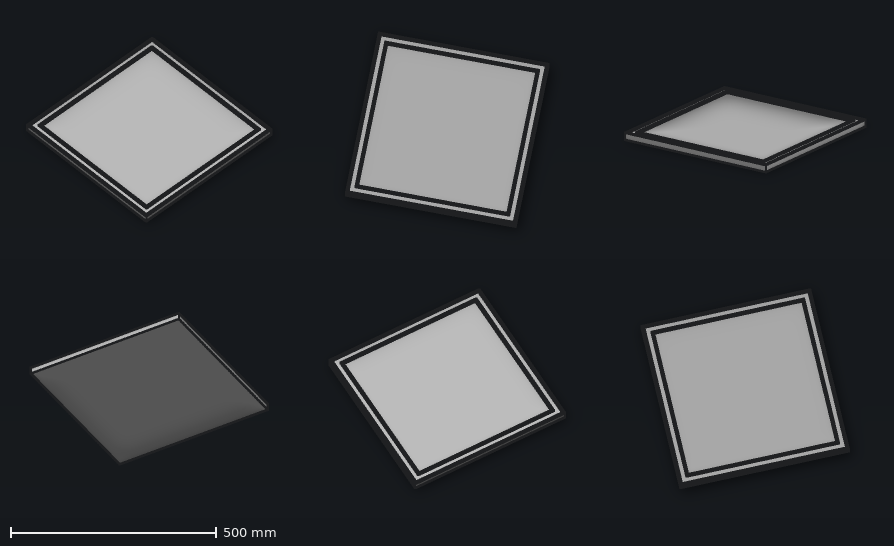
import cadquery as cq

board_side = 421.0
board_thickness = 18.0

outer_rim_width = 5.0
inner_rim_width = 5.0

channel_width = 14.7
channel_depth = 1.0

field_depth = 3.0

channel_outer_side = board_side - 2 * outer_rim_width
channel_inner_side = channel_outer_side - 2 * channel_width
field_side = channel_inner_side - 2 * inner_rim_width


def square_block(side, bottom, top):
    """Square block centred on the Z axis between two heights."""
    return cq.Workplane("XY").workplane(offset=bottom).rect(side, side).extrude(top - bottom)


def border_channel():
    """Square ring removed between the outer and inner rims."""
    channel_floor = board_thickness - channel_depth
    outside = square_block(channel_outer_side, channel_floor, board_thickness)
    inside = square_block(channel_inner_side, channel_floor, board_thickness)
    return outside.cut(inside)


def playing_field():
    """Square pocket removed from the middle of the top face."""
    return square_block(field_side, board_thickness - field_depth, board_thickness)


board = square_block(board_side, 0, board_thickness)
result = board.cut(border_channel()).cut(playing_field())